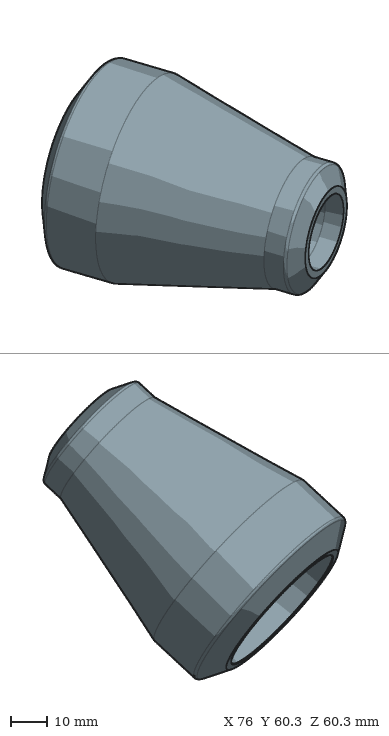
import cadquery as cq
import math

length = 76.0
wide_diameter = 60.3
narrow_diameter = 38.0
wide_bore_diameter = 40.3
narrow_bore_diameter = 22.0

wide_end_length = 20.15
wide_bore_length = 11.6
narrow_end_length = 9.9
narrow_bore_length = 5.7
cone_end = length - narrow_end_length

land_width = 2.2
bevel_angle = math.radians(30)
bevel_corner_radius = 1.0
mouth_chamfer = 0.2

pick_tolerance = 0.1

axis_start = (0, 0, 0)
axis_end = (1, 0, 0)

wide_radius = wide_diameter / 2
narrow_radius = narrow_diameter / 2
wide_bore_radius = wide_bore_diameter / 2
narrow_bore_radius = narrow_bore_diameter / 2


def bevel_length(outer_radius, bore_radius):
    """Axial length of the bevel between the end land and the outer wall."""
    return (outer_radius - bore_radius - land_width) * math.tan(bevel_angle)


def revolve_profile(points):
    """Turn an (X, radius) outline about the X axis."""
    return cq.Workplane("XY").polyline(points).close().revolve(360, axis_start, axis_end)


wide_bevel = bevel_length(wide_radius, wide_bore_radius)
narrow_bevel_start = length - bevel_length(narrow_radius, narrow_bore_radius)
body = revolve_profile([
    (0, 0),
    (0, wide_bore_radius + land_width),
    (wide_bevel, wide_radius),
    (wide_end_length, wide_radius),
    (cone_end, narrow_radius),
    (narrow_bevel_start, narrow_radius),
    (length, narrow_bore_radius + land_width),
    (length, 0),
])

for corner_x in (wide_bevel, narrow_bevel_start):
    corner = cq.selectors.BoxSelector(
        (corner_x - pick_tolerance, -wide_diameter, -wide_diameter),
        (corner_x + pick_tolerance, wide_diameter, wide_diameter),
    )
    body = body.edges("%CIRCLE").edges(corner).fillet(bevel_corner_radius)

bore = revolve_profile([
    (0, 0),
    (0, wide_bore_radius + mouth_chamfer),
    (mouth_chamfer, wide_bore_radius),
    (wide_bore_length, wide_bore_radius),
    (length - narrow_bore_length, narrow_bore_radius),
    (length, narrow_bore_radius),
    (length, 0),
])

result = body.cut(bore)